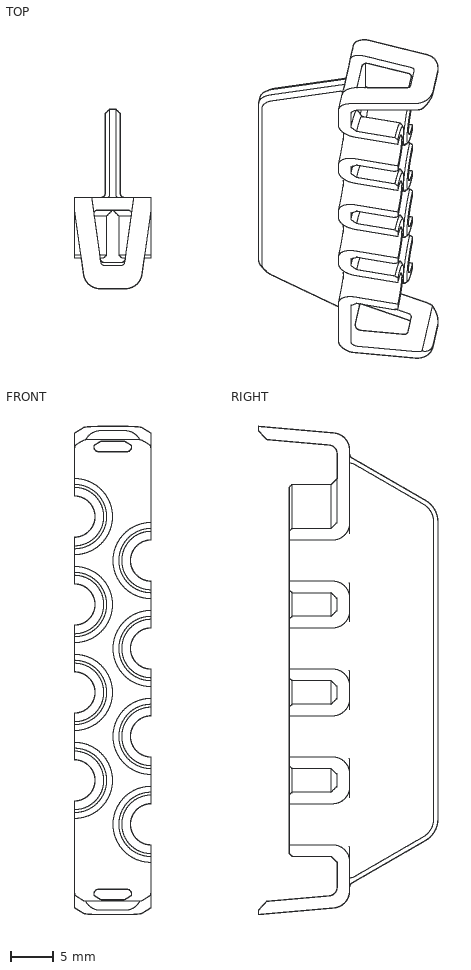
import cadquery as cq
import math

length = 57.9
width = 9.1
depth = 21.3
sheet = 1.5
half_width = width / 2

clips_per_side = 4
clip_pitch = 10.4
clip_bore_radius = 2.45
clip_wall = 1.4
clip_outer_radius = clip_bore_radius + clip_wall
clip_reach = 7.2
clip_root_chamfer = 0.7
clip_rim_chamfer = 0.35
bore_flare_radius = 2.0

arm_reach = 10.8
arm_tilt = 5.0
arm_taper = 8.0
arm_corner_radius = 2.0
arm_tip_chamfer = 1.0
bend_inner_radius = 1.0
bend_outer_radius = 2.1

window_half_width = 2.5
window_end = 8.1
window_bottom = 25.95
window_bottom_radius = 0.65
window_end_radius = 0.4
window_end_slope = 13.0

fin_thickness = 1.8
fin_reach = depth - arm_reach
fin_half_length = 25.35
fin_slope = 30.0
fin_corner_radius = 3.0
fin_edge_chamfer = 0.5
fin_root_fillet = 0.5
fin_embed = 0.35

margin = 0.05


def rise(run, angle):
    """Height gained over a run at an angle in degrees."""
    return run * math.tan(math.radians(angle))


def extrude_across(points):
    """Closed Y-Z outline extruded over the full width."""
    return cq.Workplane("YZ").polyline(points).close().extrude(half_width, both=True)


def bent_sheet():
    """The flat sheet with an outward-tilted arm at each end."""
    tip_z = length / 2
    back_z = tip_z - rise(arm_reach, arm_tilt)
    drop = sheet / math.cos(math.radians(arm_tilt))
    front_z = back_z + rise(sheet, arm_tilt) - drop
    chamfer_y = -arm_reach + arm_tip_chamfer
    edge_z = tip_z - drop + arm_tip_chamfer
    chamfer_z = tip_z - rise(arm_tip_chamfer, arm_tilt) - drop
    upper = [
        (0, back_z),
        (-arm_reach, tip_z),
        (-arm_reach, edge_z),
        (chamfer_y, chamfer_z),
        (-sheet, front_z),
    ]
    lower = [(y, -z) for y, z in reversed(upper)]
    body = extrude_across(upper + lower)
    for side in (1, -1):
        outer_bend = cq.selectors.NearestToPointSelector((0, 0, side * back_z))
        inner_bend = cq.selectors.NearestToPointSelector((0, -sheet, side * front_z))
        body = body.edges("|X").edges(outer_bend).fillet(bend_outer_radius)
        body = body.edges("|X").edges(inner_bend).fillet(bend_inner_radius)
    return body


def arm_outline():
    """Upright prism that tapers the arms and rounds the corners of their tips."""
    tip_half_width = half_width - rise(arm_reach - sheet, arm_taper)
    return (
        cq.Workplane("XY")
        .polyline(
            [
                (-half_width, 0),
                (-half_width, -sheet),
                (-tip_half_width, -arm_reach),
                (tip_half_width, -arm_reach),
                (half_width, -sheet),
                (half_width, 0),
            ]
        )
        .close()
        .extrude(length / 2, both=True)
        .edges("|Z and <Y")
        .fillet(arm_corner_radius)
    )


def window(side):
    """Cutter for one arm window, tapered like the arm, with a sloped end wall."""
    end_half_width = window_half_width - rise(window_end, arm_taper)
    end_lean = rise(length / 2 - window_bottom, window_end_slope)
    plan = (
        cq.Workplane("XY", origin=(0, 0, window_bottom))
        .polyline(
            [
                (-window_half_width, 0),
                (-end_half_width, -window_end),
                (end_half_width, -window_end),
                (window_half_width, 0),
            ]
        )
        .close()
        .extrude(length / 2 - window_bottom)
    )
    section = extrude_across(
        [
            (0, window_bottom),
            (end_lean - window_end, window_bottom),
            (-window_end, length / 2),
            (0, length / 2),
        ]
    )
    cutter = plan.intersect(section)
    cutter = cutter.faces("<Z").edges("not |X").fillet(window_bottom_radius)
    cutter = cutter.faces("<Y").edges("not |X").fillet(window_end_radius)
    return cutter if side > 0 else cutter.mirror("XY")


def spin(profile, x, z):
    """Radius-Y profile turned about the clip axis through (x, z)."""
    return profile.close().revolve(360, (0, 0, 0), (0, 1, 0)).translate((x, 0, z))


def clip_tube(x, z):
    """Full tube in front of the sheet, with a chamfered root and rim."""
    tube = (
        cq.Workplane("XY")
        .moveTo(0, -sheet / 2)
        .lineTo(clip_outer_radius + clip_root_chamfer, -sheet / 2)
        .lineTo(clip_outer_radius + clip_root_chamfer, -sheet)
        .lineTo(clip_outer_radius, -sheet - clip_root_chamfer)
        .lineTo(clip_outer_radius, -clip_reach + clip_rim_chamfer)
        .lineTo(clip_outer_radius - clip_rim_chamfer, -clip_reach)
        .lineTo(0, -clip_reach)
    )
    return spin(tube, x, z)


def clip_bore(x, z):
    """Cutter for a through bore that flares out to the back of the sheet."""
    bore = (
        cq.Workplane("XY")
        .lineTo(clip_bore_radius + bore_flare_radius, 0)
        .radiusArc((clip_bore_radius, -bore_flare_radius), -bore_flare_radius)
        .lineTo(clip_bore_radius, -2 * clip_reach)
        .lineTo(0, -2 * clip_reach)
    )
    return spin(bore, x, z)


def fin():
    """Trapezoid blade, sunk slightly into the sheet, with its free edges chamfered."""
    shoulder = fin_half_length - rise(fin_reach, fin_slope)
    plate = (
        cq.Workplane("YZ")
        .polyline(
            [
                (-fin_embed, -fin_half_length),
                (0, -fin_half_length),
                (fin_reach, -shoulder),
                (fin_reach, shoulder),
                (0, fin_half_length),
                (-fin_embed, fin_half_length),
            ]
        )
        .close()
        .extrude(fin_thickness / 2, both=True)
        .edges("|X and >Y")
        .fillet(fin_corner_radius)
    )
    free_side = cq.selectors.BoxSelector(
        (-half_width, margin, -length), (half_width, depth, length)
    )
    return plate.faces("<X or >X").edges(free_side).chamfer(fin_edge_chamfer)


middle = (clips_per_side - 1) / 2
stagger = clip_pitch / 4
clip_places = [
    (side * half_width, (row - middle) * clip_pitch - side * stagger)
    for side in (1, -1)
    for row in range(clips_per_side)
]

body = bent_sheet().intersect(arm_outline())
for side in (1, -1):
    body = body.cut(window(side))

envelope = cq.Workplane("XY").box(width, 2 * depth, length)
for x, z in clip_places:
    body = body.union(clip_tube(x, z).intersect(envelope))
for x, z in clip_places:
    body = body.cut(clip_bore(x, z))

body = body.union(fin())

fin_root = cq.selectors.BoxSelector(
    (-fin_thickness, -fin_embed, -fin_half_length - margin),
    (fin_thickness, margin, fin_half_length + margin),
)
result = body.edges(fin_root).fillet(fin_root_fillet)